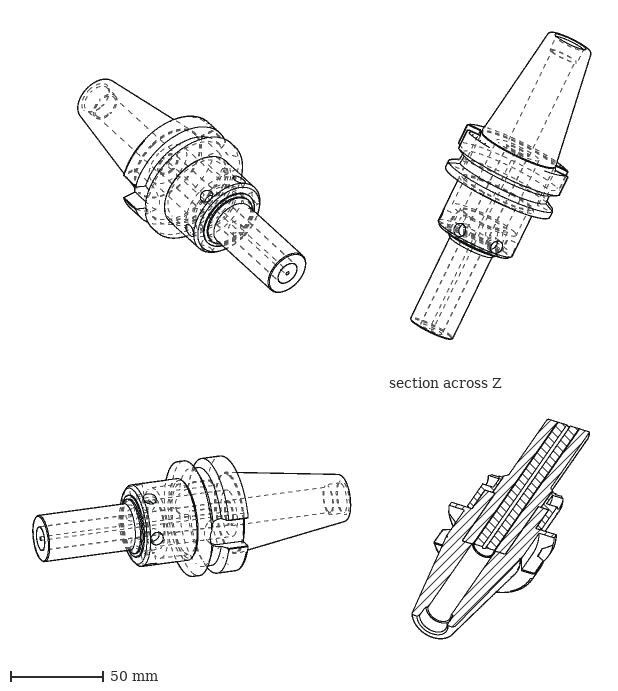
import cadquery as cq
import math

LENGTH = 175.4

TOLERANCE = 0.02

TAPER_LARGE_RADIUS = 44.5 / 2
TAPER_END_X = 65.0
TAPER_SLOPE = 7 / 48
TAPER_FILLET = 2.0
FLANGE_RADIUS = 63.0 / 2
RELIEF_START_X = 65.6
FLANGE_START_X = 66.1
FLANGE_END_X = 92.0
FLANGE_FRONT_FILLET = 1.0
FLANGE_BACK_FILLET = 0.5
RELIEF_RADIUS = 43.5 / 2
GROOVE_RADIUS = 53.7 / 2
GROOVE_START_X = 77.7
GROOVE_FLOOR_START_X = 80.3
GROOVE_FLOOR_END_X = 85.2
GROOVE_END_X = 87.9
NOSE_RADIUS = 38.6 / 2
NOSE_END_X = 108.7

BORE_MOUTH_RADIUS = 18.6 / 2
PILOT_RADIUS = 16.5 / 2
MOUTH_DEPTH = 1.0
PILOT_DEPTH = 6.8
INNER_RADIUS = 16.0 / 2
INNER_START_DEPTH = 8.2
INNER_DEPTH = 8.8
CORE_RADIUS = 13.9 / 2

SLOT_WIDTH = 16.1
SLOT_MOUTH_WIDTH = 17.0
SLOT_FLOOR_Y = 22.5
SLOT_END_X = 89.0

NUT_RADIUS = 44.7 / 2
NUT_START_X = FLANGE_END_X
NUT_END_X = 121.5
NUT_BACK_CHAMFER = 1.0
NUT_FRONT_CHAMFER = 1.5
NUT_LIP_RADIUS = 34.0 / 2
NUT_LIP_END_X = 122.3

SPANNER_HOLE_COUNT = 6
SPANNER_HOLE_DIAMETER = 7.2
SPANNER_HOLE_DEPTH = 6.3
SPANNER_HOLE_X = 116.3

SLEEVE_RADIUS = 25.5 / 2
SLEEVE_START_X = FLANGE_START_X
SLEEVE_END_CHAMFER = 0.5
SLEEVE_BORE_RADIUS = 13.0 / 2
NECK_RADIUS = 28.6 / 2
COLLAR_RADIUS = 30.0 / 2
COLLAR_START_X = NUT_LIP_END_X
COLLAR_CONE_START_X = 123.1
COLLAR_END_X = 125.2

PIN_RADIUS = 12.6 / 2
PIN_END_RADIUS = 12.0 / 2
PIN_HOLE_RADIUS = 2.0 / 2


def turned(points):
    """Revolve an (x, radius) outline about the X axis."""
    return cq.Workplane("XY").polyline(points).close().revolve(360, (0, 0, 0), (1, 0, 0))


def cylinder(start_x, end_x, radius):
    return cq.Workplane("YZ", origin=(start_x, 0, 0)).circle(radius).extrude(end_x - start_x)


def drive_slot():
    """Cutter for the +Y drive slot: straight sides and a round end towards +X."""
    end_radius = SLOT_WIDTH / 2
    depth = FLANGE_RADIUS - SLOT_FLOOR_Y
    outline = (
        cq.Workplane("XZ", origin=(0, SLOT_FLOOR_Y, 0))
        .moveTo(TAPER_END_X, -end_radius)
        .lineTo(SLOT_END_X - end_radius, -end_radius)
        .threePointArc((SLOT_END_X, 0), (SLOT_END_X - end_radius, end_radius))
        .lineTo(TAPER_END_X, end_radius)
        .close()
    )
    return outline.extrude(-depth)


def is_slot_mouth_edge(edge):
    """True for the slot edges on the flange's front face and on its rim ahead of the groove."""
    center = edge.Center()
    on_slot_wall = math.isclose(abs(center.z), SLOT_WIDTH / 2, abs_tol=TOLERANCE)
    on_flange = center.x < GROOVE_START_X and abs(center.y) > SLOT_FLOOR_Y + TOLERANCE
    return on_slot_wall and on_flange


def make_taper():
    taper_small_radius = TAPER_LARGE_RADIUS - TAPER_SLOPE * TAPER_END_X
    taper = turned([
        (0, 0),
        (0, taper_small_radius),
        (TAPER_END_X, TAPER_LARGE_RADIUS),
        (TAPER_END_X, 0),
    ])
    return taper.faces("<X").edges().fillet(TAPER_FILLET)


def make_flange():
    """Flange with its V groove and drive slots, the relieved step at the taper and the nose."""
    flange = turned([
        (TAPER_END_X, 0),
        (TAPER_END_X, TAPER_LARGE_RADIUS),
        (RELIEF_START_X, TAPER_LARGE_RADIUS),
        (RELIEF_START_X, RELIEF_RADIUS),
        (FLANGE_START_X, RELIEF_RADIUS),
        (FLANGE_START_X, FLANGE_RADIUS),
        (GROOVE_START_X, FLANGE_RADIUS),
        (GROOVE_FLOOR_START_X, GROOVE_RADIUS),
        (GROOVE_FLOOR_END_X, GROOVE_RADIUS),
        (GROOVE_END_X, FLANGE_RADIUS),
        (FLANGE_END_X, FLANGE_RADIUS),
        (FLANGE_END_X, NOSE_RADIUS),
        (NOSE_END_X, NOSE_RADIUS),
        (NOSE_END_X, 0),
    ])
    outer_rims = cq.selectors.RadiusNthSelector(-1)
    flange = flange.edges(outer_rims).edges(">X").fillet(FLANGE_BACK_FILLET)
    slot = drive_slot()
    flange = flange.cut(slot).cut(slot.mirror("XZ"))
    slot_chamfer = (SLOT_MOUTH_WIDTH - SLOT_WIDTH) / 2
    flange = flange.edges("|X or |Y").filter(is_slot_mouth_edge).chamfer(slot_chamfer)
    return flange.edges(outer_rims).edges("<X").fillet(FLANGE_FRONT_FILLET)


def holder_bore():
    """Cutter for the stepped bore at the small end and the sleeve's seat."""
    return turned([
        (0, 0),
        (0, BORE_MOUTH_RADIUS),
        (MOUTH_DEPTH, PILOT_RADIUS),
        (PILOT_DEPTH, PILOT_RADIUS),
        (INNER_START_DEPTH, INNER_RADIUS),
        (INNER_DEPTH, INNER_RADIUS),
        (INNER_DEPTH, CORE_RADIUS),
        (SLEEVE_START_X, CORE_RADIUS),
        (SLEEVE_START_X, SLEEVE_RADIUS),
        (NOSE_END_X, SLEEVE_RADIUS),
        (NOSE_END_X, 0),
    ])


def make_holder():
    return make_taper().union(make_flange()).cut(holder_bore())


def make_nut():
    nut = turned([
        (NUT_START_X, NOSE_RADIUS),
        (NUT_START_X, NUT_RADIUS - NUT_BACK_CHAMFER),
        (NUT_START_X + NUT_BACK_CHAMFER, NUT_RADIUS),
        (NUT_END_X - NUT_FRONT_CHAMFER, NUT_RADIUS),
        (NUT_END_X, NUT_RADIUS - NUT_FRONT_CHAMFER),
        (NUT_END_X, NUT_LIP_RADIUS),
        (NUT_LIP_END_X, NUT_LIP_RADIUS),
        (NUT_LIP_END_X, NECK_RADIUS),
        (NOSE_END_X, NECK_RADIUS),
        (NOSE_END_X, NOSE_RADIUS),
    ])
    spanner_hole = (
        cq.Workplane("XZ", origin=(SPANNER_HOLE_X, -NUT_RADIUS, 0))
        .circle(SPANNER_HOLE_DIAMETER / 2)
        .extrude(-SPANNER_HOLE_DEPTH)
    )
    for index in range(SPANNER_HOLE_COUNT):
        angle = index * 360 / SPANNER_HOLE_COUNT
        nut = nut.cut(spanner_hole.rotate((0, 0, 0), (1, 0, 0), angle))
    return nut


def make_sleeve():
    bore_mouth = CORE_RADIUS - SLEEVE_BORE_RADIUS
    return turned([
        (SLEEVE_START_X, CORE_RADIUS),
        (SLEEVE_START_X, SLEEVE_RADIUS),
        (NOSE_END_X, SLEEVE_RADIUS),
        (NOSE_END_X, NECK_RADIUS),
        (COLLAR_START_X, NECK_RADIUS),
        (COLLAR_START_X, COLLAR_RADIUS),
        (COLLAR_CONE_START_X, COLLAR_RADIUS),
        (COLLAR_END_X, SLEEVE_RADIUS),
        (LENGTH - SLEEVE_END_CHAMFER, SLEEVE_RADIUS),
        (LENGTH, SLEEVE_RADIUS - SLEEVE_END_CHAMFER),
        (LENGTH, SLEEVE_BORE_RADIUS),
        (SLEEVE_START_X + bore_mouth, SLEEVE_BORE_RADIUS),
    ])


def make_pin():
    end_chamfer = PIN_RADIUS - PIN_END_RADIUS
    pin = cylinder(SLEEVE_START_X, LENGTH, PIN_RADIUS).faces("<X").chamfer(end_chamfer)
    return pin.cut(cylinder(SLEEVE_START_X, LENGTH, PIN_HOLE_RADIUS))


holder = make_holder()
nut = make_nut()
sleeve = make_sleeve()
pin = make_pin()

result = cq.Compound.makeCompound([holder.val(), nut.val(), sleeve.val(), pin.val()])